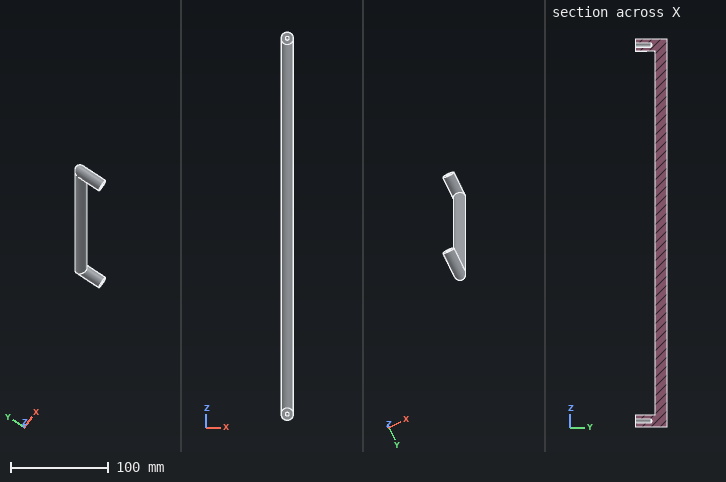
import cadquery as cq
import math

height = 396.7
depth = 32.5
bar_diameter = 12.5

hole_diameter = 4.0
hole_depth = 16.0
drill_tip_angle = 118.0

radius = bar_diameter / 2
leg_spacing = height - bar_diameter
leg_face_y = -depth / 2
grip_axis_y = depth / 2 - radius
leg_heights = (-leg_spacing / 2, leg_spacing / 2)


def make_handle():
    """Round bar swept along a U-shaped path with mitred corners."""
    bottom, top = leg_heights
    path = (
        cq.Workplane("YZ")
        .moveTo(leg_face_y, bottom)
        .lineTo(grip_axis_y, bottom)
        .lineTo(grip_axis_y, top)
        .lineTo(leg_face_y, top)
    )
    leg_face = cq.Workplane("XZ", origin=(0, leg_face_y, bottom))
    return leg_face.circle(radius).sweep(path, transition="right")


def make_screw_hole(leg_height):
    """Blind drilled hole with a conical end, running along a leg from its mounting face."""
    hole_radius = hole_diameter / 2
    tip_length = hole_radius / math.tan(math.radians(drill_tip_angle / 2))
    half_profile = (
        cq.Workplane("XY", origin=(0, leg_face_y, leg_height))
        .lineTo(hole_radius, 0)
        .lineTo(hole_radius, hole_depth)
        .lineTo(0, hole_depth + tip_length)
        .close()
    )
    return half_profile.revolve(360, (0, 0, 0), (0, 1, 0))


result = make_handle()
for leg_height in leg_heights:
    result = result.cut(make_screw_hole(leg_height))